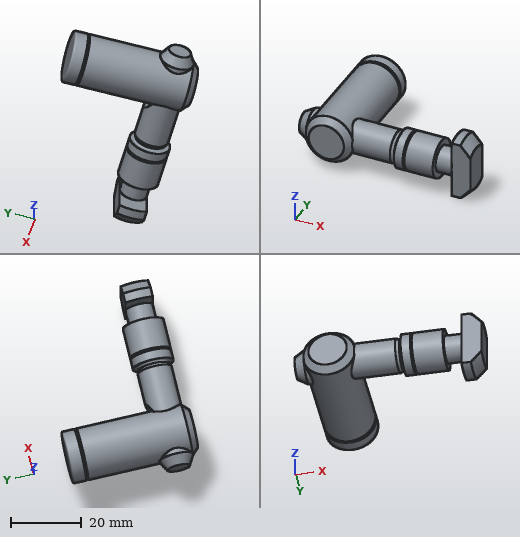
import cadquery as cq
import math


housing_radius = 7.5
housing_front = -6.7
housing_back = 29.9
front_chamfer = 2.0
back_rounding = 0.55
housing_groove_width = 0.65
housing_groove_depth = 0.25
housing_groove_center = housing_back - 4.0

shank_radius = 4.95
tip_radius = 3.25
neck_radius = 4.45
neck_fillet = 0.5
collar_radius = 5.95
collar_groove_depth = 0.2
stem_radius = 4.0

tip_angle = 30
tip_x = -10.2
tip_base_x = tip_x + (shank_radius - tip_radius) / math.tan(math.radians(tip_angle))
taper_start_x = 19.05
taper_end_x = 20.1
collar_start_x = 20.8
collar_groove_start_x = 23.55
collar_groove_end_x = 24.1
collar_end_x = 32.95
head_start_x = 37.95
head_end_x = 43.8

head_radius = 9.7
head_width = 2 * stem_radius
head_bevel = 3.1

ramp_angle = 25
ramp_start_x = 10.0
ramp_run = 4.8


def make_housing():
    """Round bar with a chamfered front, a rounded back and a V-groove, bored across for the pin."""
    body = (
        cq.Workplane("XZ", origin=(0, housing_back, 0))
        .circle(housing_radius)
        .extrude(housing_back - housing_front)
    )
    body = body.faces("<Y").chamfer(front_chamfer)
    body = body.faces(">Y").edges().fillet(back_rounding)
    groove = (
        cq.Workplane("XY")
        .moveTo(housing_radius, housing_groove_center - housing_groove_width / 2)
        .lineTo(housing_radius - housing_groove_depth, housing_groove_center)
        .lineTo(housing_radius, housing_groove_center + housing_groove_width / 2)
        .close()
        .revolve(360, (0, 0, 0), (0, 1, 0))
    )
    bore = cq.Workplane("YZ").circle(shank_radius).extrude(2 * housing_radius, both=True)
    return body.cut(groove).cut(bore)


def make_turned_pin():
    """Conical tip, shank, filleted neck, V-grooved collar and stem, turned about the X axis."""
    groove_center_x = (collar_groove_start_x + collar_groove_end_x) / 2
    groove_radius = collar_radius - collar_groove_depth
    return (
        cq.Workplane("XY")
        .moveTo(tip_x, 0)
        .lineTo(tip_x, tip_radius)
        .lineTo(tip_base_x, shank_radius)
        .lineTo(taper_start_x, shank_radius)
        .lineTo(taper_end_x, neck_radius)
        .lineTo(collar_start_x - neck_fillet, neck_radius)
        .radiusArc((collar_start_x, neck_radius + neck_fillet), -neck_fillet)
        .lineTo(collar_start_x, collar_radius)
        .lineTo(collar_groove_start_x, collar_radius)
        .lineTo(groove_center_x, groove_radius)
        .lineTo(collar_groove_end_x, collar_radius)
        .lineTo(collar_end_x, collar_radius)
        .lineTo(collar_end_x, stem_radius)
        .lineTo(head_start_x, stem_radius)
        .lineTo(head_start_x, 0)
        .close()
        .revolve(360, (0, 0, 0), (1, 0, 0))
    )


def make_head():
    """Bevelled disc cut down to a flat bar of the stem's width."""
    length = head_end_x - head_start_x
    disc = (
        cq.Workplane("YZ", origin=(head_start_x, 0, 0))
        .circle(head_radius)
        .extrude(length)
        .faces(">X")
        .chamfer(head_bevel)
    )
    bar = cq.Workplane("YZ", origin=(head_start_x, 0, 0)).rect(head_width, 2 * head_radius).extrude(length)
    return disc.intersect(bar)


def make_ramp_cutter():
    """Wedge that slopes into the shank towards the housing."""
    ramp_depth = ramp_run * math.tan(math.radians(ramp_angle))
    return (
        cq.Workplane("XY")
        .moveTo(ramp_start_x, shank_radius)
        .lineTo(ramp_start_x - ramp_run, shank_radius)
        .lineTo(ramp_start_x - ramp_run, shank_radius - ramp_depth)
        .close()
        .extrude(shank_radius, both=True)
    )


def make_clamp_pin():
    return make_turned_pin().union(make_head()).cut(make_ramp_cutter())


housing = make_housing()
clamp_pin = make_clamp_pin()

result = cq.Compound.makeCompound([housing.val(), clamp_pin.val()])